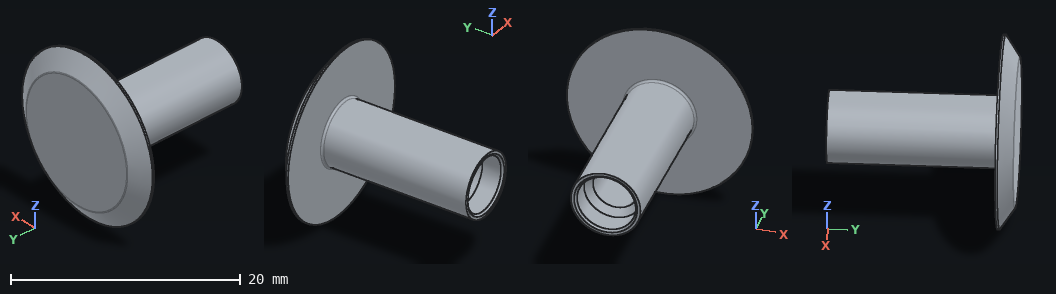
import cadquery as cq

head_radius = 8.5
head_face_radius = 6.6
head_thickness = 1.5
rim_thickness = 0.2
head_edge_round = 0.2
shank_radius = 3.2
shank_length = 15.01
neck_round = 0.2

mouth_radius = 2.69
mouth_round = 0.2
mouth_depth = 2.12
taper_top_radius = 2.05
taper_end_radius = 1.68
bore_depth = 13.6
floor_round = 0.15

open_end = -shank_length
shoulder_end = mouth_depth + mouth_radius - taper_top_radius


def revolve_about_y(profile):
    return profile.close().revolve(360, (0, 0, 0), (0, 1, 0))


def make_body():
    head = revolve_about_y(
        cq.Workplane("XY")
        .lineTo(head_radius, 0)
        .lineTo(head_radius, rim_thickness)
        .lineTo(head_face_radius, head_thickness)
        .lineTo(0, head_thickness)
    )
    head = head.faces(">Y").edges().fillet(head_edge_round)
    shank = revolve_about_y(
        cq.Workplane("XY")
        .moveTo(0, open_end)
        .lineTo(shank_radius, open_end)
        .lineTo(shank_radius, -neck_round)
        .radiusArc((shank_radius + neck_round, 0), neck_round)
        .lineTo(0, 0)
    )
    return head.union(shank)


def make_bore():
    return revolve_about_y(
        cq.Workplane("XY")
        .moveTo(0, open_end)
        .lineTo(mouth_radius + mouth_round, open_end)
        .radiusArc((mouth_radius, open_end + mouth_round), -mouth_round)
        .lineTo(mouth_radius, open_end + mouth_depth)
        .lineTo(taper_top_radius, open_end + shoulder_end)
        .lineTo(taper_end_radius, open_end + bore_depth - floor_round)
        .radiusArc((taper_end_radius - floor_round, open_end + bore_depth), -floor_round)
        .lineTo(0, open_end + bore_depth)
    )


result = make_body().cut(make_bore())